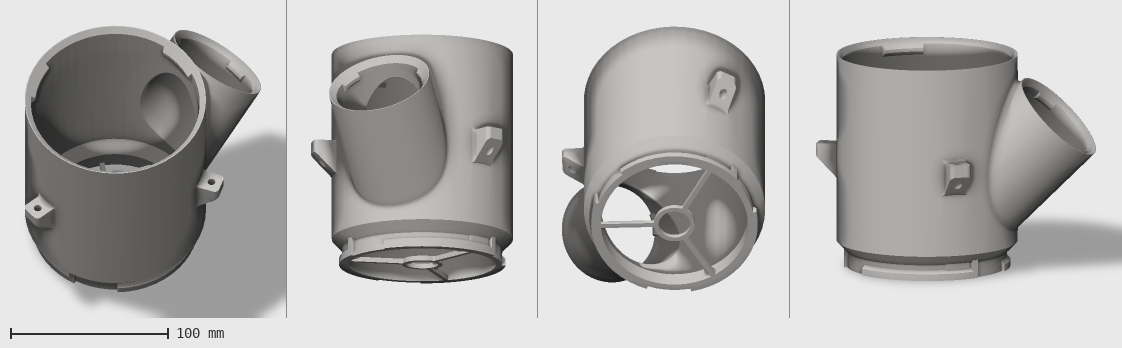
import cadquery as cq
import math

height = 136.5
body_radius = 57.5
bore_radius = 53.5
wall = 4.1
station_angles = (30, 150, 270)
joint_angles = (90, 210, 330)

flange_radius = 52.8
neck_radius = 50.6
base_bore_radius = 46.5
flange_land = 4.3
cone_top = 16.5
flange_start, flange_end = 321, 405.7
stop_end = 410.0
bump_rise = 0.5
bump_start, bump_end = 384.2, 405.4
bump_taper = 1.7

mouth_edge = 0.5
tab_reach = 2.5
tab_land = 2.2
tab_half_angle = 15.2
tab_taper = 1.9

pipe_radius = 32.7
pipe_bore_radius = 28.5
pipe_tab_reach = 2.0
pipe_tilt = 45.0
pipe_axis_height = 14.4
pipe_length = 120.7
pipe_root = 35.9
weld_fillet = 2.2
opening_fillet = 1.0

ear_reach = 71.1
ear_width = 13.6
ear_top = 76.8
ear_face_height = 7.4
ear_corner = 2.9
ear_fillet = 2.0
ear_hole_radius = 64.6
ear_hole_diameter = 4.8

spider_thickness = 3.0
arm_width = 3.0
hub_radius = 13.0
hub_bore_radius = 10.0
spider_fillet = 1.5

cone_bottom = cone_top - (body_radius - neck_radius)
cone_offset = wall * math.sqrt(2)
floor_top = cone_top - body_radius + cone_offset + bore_radius
floor_bottom = floor_top - (bore_radius - base_bore_radius)


def polar(radius, angle):
    """Point in the XY plane from a radius and an angle in degrees."""
    return (radius * math.cos(math.radians(angle)), radius * math.sin(math.radians(angle)))


def revolve(points, start=0, end=360):
    """Solid of revolution about Z from (radius, height) points, between two angles."""
    profile = cq.Workplane("XZ").polyline(points).close()
    return profile.revolve(end - start, (0, 0), (0, 1)).rotate((0, 0, 0), (0, 0, 1), start)


def sector(inner, outer, start, end, bottom, top, start_taper=0, end_taper=0):
    """Ring sector; the tapers shorten the arc (degrees) at one radius of each end.

    Positive tapers shorten the inner arc, negative tapers the outer arc.
    """
    inner_start = start + max(start_taper, 0)
    inner_end = end - max(end_taper, 0)
    outer_start = start + max(-start_taper, 0)
    outer_end = end - max(-end_taper, 0)
    middle = (start + end) / 2
    return (
        cq.Workplane("XY", origin=(0, 0, bottom))
        .moveTo(*polar(inner, inner_start))
        .lineTo(*polar(outer, outer_start))
        .threePointArc(polar(outer, middle), polar(outer, outer_end))
        .lineTo(*polar(inner, inner_end))
        .threePointArc(polar(inner, middle), polar(inner, inner_start))
        .close()
        .extrude(top - bottom)
    )


def mouth_bevel(outer, top):
    """Cone-shaped cutter for the 45 degree bevel inside a tube mouth."""
    rim = outer - mouth_edge
    return revolve([(0, top), (rim, top), (0, top - rim)])


def mouth_tab(outer, bore, reach, top, angle):
    """Inward bayonet tab with a 45 degree underside; the mouth bevel shapes its top."""
    tip = bore - reach
    root = (bore + outer) / 2
    bevel_end = top - (outer - mouth_edge - bore)
    underside = bevel_end - reach - tab_land
    ring = revolve([
        (tip, underside),
        (tip, bevel_end),
        (root, bevel_end),
        (root, underside - (root - tip)),
    ])
    start, end = angle - tab_half_angle, angle + tab_half_angle
    return ring.intersect(sector(tip, root, start, end, 0, top, end_taper=tab_taper))


def along_pipe(shape):
    """Move a shape built on the Z axis onto the tilted pipe axis."""
    return shape.rotate((0, 0, 0), (1, 0, 0), -pipe_tilt).translate((0, 0, pipe_axis_height))


def make_ear():
    """Ear on the +X side: flat top, vertical outer face, 45 degree underside."""
    root = (body_radius + bore_radius) / 2
    face_bottom = ear_top - ear_face_height
    ear = (
        cq.Workplane("XZ")
        .polyline([
            (root, ear_top),
            (ear_reach, ear_top),
            (ear_reach, face_bottom),
            (root, face_bottom - (ear_reach - root)),
        ])
        .close()
        .extrude(ear_width / 2, both=True)
    )
    return ear.edges("|Z and >X").fillet(ear_corner)


def is_ear_root(edge):
    """True for the top and side edges where an ear meets the body wall."""
    on_wall = all(
        abs(math.hypot(v.X, v.Y) - body_radius) < 0.02 for v in edge.Vertices()
    )
    return on_wall and edge.geomType() in ("LINE", "CIRCLE") and edge.Length() < 2 * ear_width


def add_ears(body):
    """Join the ears to a body and fillet their top and side roots."""
    for angle in station_angles:
        body = body.union(make_ear().rotate((0, 0, 0), (0, 0, 1), angle))
    return body.edges().filter(is_ear_root).fillet(ear_fillet)


def drill_ears(part):
    """Vertical screw holes through the ears."""
    holes = cq.Workplane("XY").pushPoints([polar(ear_hole_radius, a) for a in station_angles])
    return part.cut(holes.circle(ear_hole_diameter / 2).extrude(height))


def join_pipe(trunk, radius, fillet):
    """Join a pipe cylinder to an upright trunk and fillet the joint."""
    pipe = cq.Workplane("XY", origin=(0, 0, pipe_root)).circle(radius).extrude(pipe_length - pipe_root)
    return trunk.union(along_pipe(pipe)).edges("%BSPLINE").fillet(fillet)


def add_base_bayonet(part):
    """Flanges, end stops and detent bumps around the neck."""
    inner = (neck_radius + base_bore_radius) / 2
    middle_of_cone = (cone_bottom + cone_top) / 2
    flange_profile = [
        (inner, 0),
        (flange_radius, 0),
        (flange_radius, flange_land),
        (inner, flange_land + flange_radius - inner),
    ]
    stop_profile = [
        (inner, 0),
        (flange_radius, 0),
        (flange_radius, middle_of_cone),
        (inner, middle_of_cone),
    ]
    for turn in (0, 120, 240):
        flange = revolve(flange_profile, flange_start + turn, flange_end + turn)
        stop = revolve(stop_profile, flange_end + turn, stop_end + turn)
        bump = sector(
            inner, neck_radius + bump_rise, bump_start + turn, bump_end + turn,
            flange_land, middle_of_cone, -bump_taper, -bump_taper,
        )
        part = part.union(flange)
        part = part.union(stop)
        part = part.union(bump)
    return part


def make_spider():
    """Hub ring on three arms that run into the base ring."""
    arm_end = (base_bore_radius + neck_radius) / 2
    spider = cq.Workplane("XY").circle(hub_radius).extrude(spider_thickness)
    for angle in station_angles:
        arm = cq.Workplane("XY").rect(arm_end, arm_width).extrude(spider_thickness)
        spider = spider.union(arm.translate((arm_end / 2, 0, 0)).rotate((0, 0, 0), (0, 0, 1), angle))
    hub_corners = cq.selectors.BoxSelector((-hub_radius, -hub_radius, 0), (hub_radius, hub_radius, height))
    spider = spider.edges("|Z").edges(hub_corners).fillet(spider_fillet)
    return spider.cut(cq.Workplane("XY").circle(hub_bore_radius).extrude(spider_thickness))


body = revolve([
    (0, 0),
    (neck_radius, 0),
    (neck_radius, cone_bottom),
    (body_radius, cone_top),
    (body_radius, height),
    (0, height),
])
result = drill_ears(add_ears(join_pipe(body, pipe_radius, weld_fillet)))
result = add_base_bayonet(result)

bore = revolve([
    (0, 0),
    (base_bore_radius, 0),
    (base_bore_radius, floor_bottom),
    (bore_radius, floor_top),
    (bore_radius, height),
    (0, height),
])
result = result.cut(join_pipe(bore, pipe_bore_radius, opening_fillet))

for angle in joint_angles:
    body_tab = mouth_tab(body_radius, bore_radius, tab_reach, height, angle)
    pipe_tab = mouth_tab(pipe_radius, pipe_bore_radius, pipe_tab_reach, pipe_length, angle)
    result = result.union(body_tab).union(along_pipe(pipe_tab))
result = result.cut(mouth_bevel(body_radius, height))
result = result.cut(along_pipe(mouth_bevel(pipe_radius, pipe_length)))

result = result.union(make_spider())